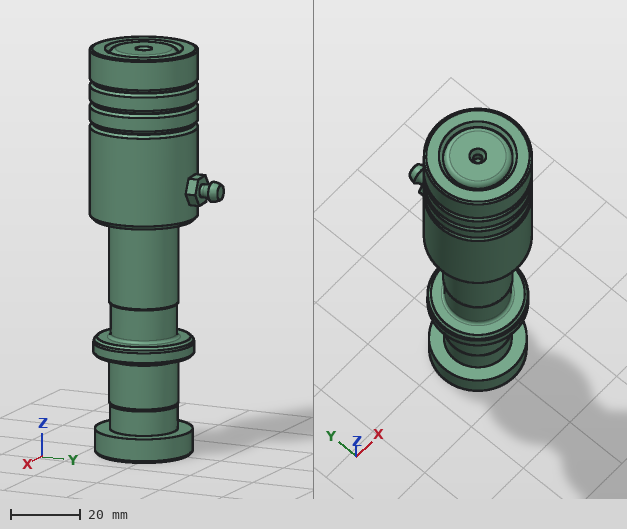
import cadquery as cq
import math

total_height = 119.0
total_depth = 40.0

bush_length = 50.0
bush_diameter = 31.0
bush_radius = bush_diameter / 2
bush_bottom = total_height - bush_length
bush_bottom_chamfer = 1.2
bush_top_chamfer_width = 0.7
bush_top_chamfer_height = 0.4
bore_chamfer = 1.2

groove_count = 3
groove_pitch = 6.1
groove_width = 2.1
groove_depth = 1.0
first_groove_below_top = 9.8

disc_radius = 14.0
disc_height = 7.1
disc_chamfer = 0.7
hub_radius = 9.8
hub_top = 14.3

pillar_radius = 10.0
pillar_top_fillet = 1.9
relief_radius = 9.5
relief_top = 44.0
relief_bottom = 28.3
relief_step = pillar_radius - relief_radius
flange_radius = 14.5
flange_bottom = 29.0
flange_top = 34.2
flange_bottom_chamfer = 0.7
flange_shoulder_height = 0.8
flange_shoulder_radius = 14.3
flange_top_radius = 13.5
flange_taper_start = 32.6
flange_root_fillet = 1.0
pillar_bottom = hub_top
pillar_bottom_chamfer = 0.7

countersink_radius = 2.4
pilot_diameter = 2.7
pilot_radius = pilot_diameter / 2
center_cone_angle = 60.0
pilot_length = 2.4
drill_point_angle = 120.0

port_radius = 3.0
nipple_z = 79.0
shank_length = 4.8
hex_across_flats = 8.0
hex_height = 3.1
hex_turn = 5.0
neck_radius = 1.9
neck_length = 1.1
lip_diameter = 5.8
lip_radius = lip_diameter / 2
lip_y = 21.9
tip_radius = 2.1
tip_y = total_depth - bush_radius
head_middle_radius = 2.7
head_waist_radius = 2.1


def revolve_z(profile):
    """Revolve a closed XZ profile around the Z axis."""
    return profile.close().revolve(360, (0, 0, 0), (0, 1, 0))


def groove_cutter(center_z):
    """Ring with 45 degree flanks and a narrow flat floor."""
    half_mouth = groove_width / 2
    half_floor = half_mouth - groove_depth
    floor_radius = bush_radius - groove_depth
    return revolve_z(
        cq.Workplane("XZ")
        .moveTo(bush_radius, center_z - half_mouth)
        .lineTo(floor_radius, center_z - half_floor)
        .lineTo(floor_radius, center_z + half_floor)
        .lineTo(bush_radius, center_z + half_mouth)
    )


def make_bush():
    sleeve = revolve_z(
        cq.Workplane("XZ")
        .moveTo(pillar_radius, bush_bottom)
        .lineTo(bush_radius - bush_bottom_chamfer, bush_bottom)
        .lineTo(bush_radius, bush_bottom + bush_bottom_chamfer)
        .lineTo(bush_radius, total_height - bush_top_chamfer_height)
        .lineTo(bush_radius - bush_top_chamfer_width, total_height)
        .lineTo(pillar_radius + bore_chamfer, total_height)
        .lineTo(pillar_radius, total_height - bore_chamfer)
    )
    for index in range(groove_count):
        center_z = total_height - first_groove_below_top - index * groove_pitch
        sleeve = sleeve.cut(groove_cutter(center_z))

    nipple_port = cq.Workplane("XZ").center(0, nipple_z).circle(port_radius).extrude(-bush_radius)
    return sleeve.cut(nipple_port)


def center_hole_cutter():
    countersink_depth = (countersink_radius - pilot_radius) / math.tan(math.radians(center_cone_angle / 2))
    point_depth = pilot_radius / math.tan(math.radians(drill_point_angle / 2))
    pilot_top = total_height - countersink_depth
    pilot_bottom = pilot_top - pilot_length
    return revolve_z(
        cq.Workplane("XZ")
        .moveTo(0, total_height)
        .lineTo(countersink_radius, total_height)
        .lineTo(pilot_radius, pilot_top)
        .lineTo(pilot_radius, pilot_bottom)
        .lineTo(0, pilot_bottom - point_depth)
    )


def make_pillar():
    shoulder_radius = pillar_radius - pillar_top_fillet
    shoulder_z = total_height - pillar_top_fillet
    arc_leg = math.sqrt(0.5)
    root_z = flange_top + flange_root_fillet
    root_radius = relief_radius + flange_root_fillet
    shaft = revolve_z(
        cq.Workplane("XZ")
        .moveTo(0, pillar_bottom)
        .lineTo(pillar_radius - pillar_bottom_chamfer, pillar_bottom)
        .lineTo(pillar_radius, pillar_bottom + pillar_bottom_chamfer)
        .lineTo(pillar_radius, relief_bottom - relief_step)
        .lineTo(relief_radius, relief_bottom)
        .lineTo(relief_radius, flange_bottom)
        .lineTo(flange_radius - flange_bottom_chamfer, flange_bottom)
        .lineTo(flange_radius, flange_bottom + flange_bottom_chamfer)
        .lineTo(flange_radius, flange_taper_start)
        .lineTo(flange_shoulder_radius, flange_top - flange_shoulder_height)
        .lineTo(flange_top_radius, flange_top)
        .lineTo(root_radius, flange_top)
        .threePointArc(
            (root_radius - flange_root_fillet * arc_leg, root_z - flange_root_fillet * arc_leg),
            (relief_radius, root_z),
        )
        .lineTo(relief_radius, relief_top)
        .lineTo(pillar_radius, relief_top + relief_step)
        .lineTo(pillar_radius, shoulder_z)
        .threePointArc(
            (shoulder_radius + pillar_top_fillet * arc_leg, shoulder_z + pillar_top_fillet * arc_leg),
            (shoulder_radius, total_height),
        )
        .lineTo(0, total_height)
    )
    return shaft.cut(center_hole_cutter())


def make_end_cap():
    disc = cq.Workplane("XY").circle(disc_radius).extrude(disc_height).faces("<Z").chamfer(disc_chamfer)
    hub = cq.Workplane("XY").circle(hub_radius).extrude(hub_top)
    return disc.union(hub)


def make_nipple():
    """Threaded shank, hexagon and rounded head along the +Y axis."""
    hex_top_y = bush_radius + hex_height
    neck_end_y = hex_top_y + neck_length
    turned = (
        cq.Workplane("XY")
        .moveTo(0, bush_radius - shank_length)
        .lineTo(port_radius, bush_radius - shank_length)
        .lineTo(port_radius, bush_radius)
        .lineTo(neck_radius, bush_radius)
        .lineTo(neck_radius, neck_end_y)
        .threePointArc((head_waist_radius, (neck_end_y + lip_y) / 2), (lip_radius, lip_y))
        .threePointArc((head_middle_radius, (lip_y + tip_y) / 2), (tip_radius, tip_y))
        .lineTo(0, tip_y)
        .close()
        .revolve(360, (0, 0, 0), (0, 1, 0))
        .translate((0, 0, nipple_z))
    )
    hex_across_corners = hex_across_flats / math.cos(math.radians(30))
    hexagon = (
        cq.Workplane("XZ", origin=(0, bush_radius, nipple_z))
        .transformed(rotate=(0, 0, -hex_turn))
        .polygon(6, hex_across_corners)
        .extrude(-hex_height)
    )
    return turned.union(hexagon)


bush = make_bush()
pillar = make_pillar()
end_cap = make_end_cap()
nipple = make_nipple()

result = cq.Compound.makeCompound([bush.val(), pillar.val(), end_cap.val(), nipple.val()])